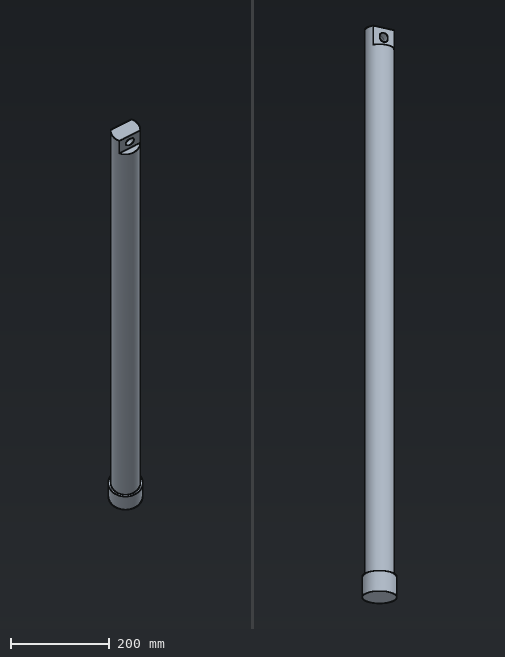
import cadquery as cq

total_height = 1230.0
collar_diameter = 70.0
collar_height = 44.0
rod_diameter = 60.0
tang_thickness = 33.0
tang_height = 42.0
pin_hole_diameter = 20.0

shoulder_height = total_height - tang_height
pin_hole_height = total_height - tang_height / 2


def make_collar():
    """Wider foot at the lower end of the rod."""
    return cq.Workplane("XY").circle(collar_diameter / 2).extrude(collar_height)


def make_rod():
    """Plain round rod over the full height."""
    return cq.Workplane("XY").circle(rod_diameter / 2).extrude(total_height)


def make_flat_cutter():
    """Material removed beside the tang to leave two flats facing -X and +X."""
    return (
        cq.Workplane("XY", origin=(0, 0, shoulder_height))
        .rect(2 * rod_diameter, 2 * rod_diameter)
        .rect(tang_thickness, rod_diameter)
        .extrude(tang_height)
    )


def make_pin_hole():
    """Cross hole through both flats of the tang, along X."""
    return (
        cq.Workplane("YZ", origin=(0, 0, pin_hole_height))
        .circle(pin_hole_diameter / 2)
        .extrude(tang_thickness, both=True)
    )


result = make_rod().cut(make_flat_cutter()).union(make_collar()).cut(make_pin_hole())